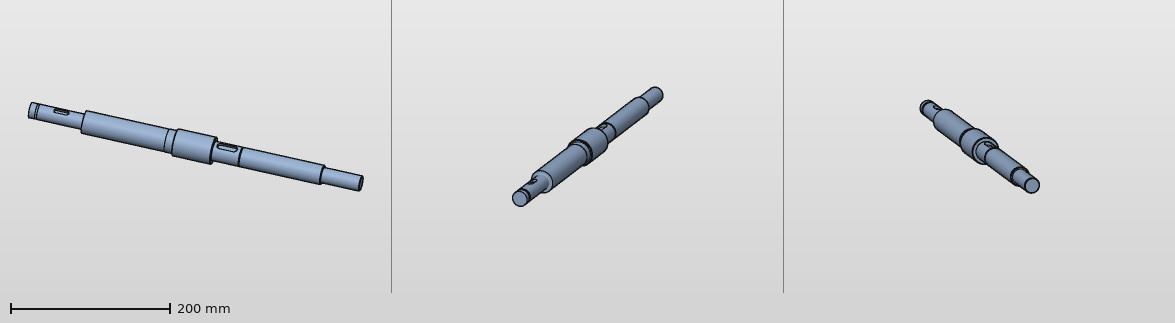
import cadquery as cq

LENGTH = 433.0
GROOVE_START = 8.2
GROOVE_END = 11.0
LEFT_SHOULDER = 70.5
SEAT_START = 179.0
COLLAR_START = 189.5
COLLAR_END = 240.0
HUB_SEAT_END = 275.3
RELIEF_END = 276.5
RIGHT_SHOULDER = 382.5

JOURNAL_DIA = 20.0
GROOVE_DIA = 19.0
LEFT_BODY_DIA = 29.5
SEAT_DIA = 30.0
COLLAR_DIA = 35.0
RIGHT_BODY_DIA = 25.0
RELIEF_DIA = 24.2

EDGE_CHAMFER = 1.0
ROOT_FILLET = 1.5

LEFT_KEYWAY = (30.7, 50.0, 6.0, 3.5)
HUB_KEYWAY = (244.5, 270.5, 8.5, 4.0)


def cylinder(start, end, diameter):
    """Solid cylinder along X between two axial stations."""
    return cq.Workplane("YZ", origin=(start, 0, 0)).circle(diameter / 2).extrude(end - start)


def keyway(start, end, width, depth, shaft_diameter):
    """Round-ended key slot cutter, open at the top of the shaft."""
    floor = shaft_diameter / 2 - depth
    return (
        cq.Workplane("XY", origin=((start + end) / 2, 0, floor))
        .slot2D(end - start, width)
        .extrude(shaft_diameter)
    )


shaft = cylinder(0, GROOVE_START, JOURNAL_DIA)
shaft = shaft.union(cylinder(GROOVE_START, GROOVE_END, GROOVE_DIA))
shaft = shaft.union(cylinder(GROOVE_END, LEFT_SHOULDER, JOURNAL_DIA))

shaft = shaft.union(cylinder(LEFT_SHOULDER, SEAT_START, LEFT_BODY_DIA))
shaft = shaft.union(cylinder(SEAT_START, COLLAR_START, SEAT_DIA))
collar = cylinder(COLLAR_START, COLLAR_END, COLLAR_DIA).faces("<X or >X").chamfer(EDGE_CHAMFER)
shaft = shaft.union(collar)

shaft = shaft.union(cylinder(COLLAR_END, HUB_SEAT_END, RIGHT_BODY_DIA))
shaft = shaft.union(cylinder(HUB_SEAT_END, RELIEF_END, RELIEF_DIA))
right_body = cylinder(RELIEF_END, RIGHT_SHOULDER, RIGHT_BODY_DIA).faces(">X").chamfer(EDGE_CHAMFER)
shaft = shaft.union(right_body)
right_journal = cylinder(RIGHT_SHOULDER, LENGTH, JOURNAL_DIA).faces(">X").chamfer(EDGE_CHAMFER)
shaft = shaft.union(right_journal)

journal_root = cq.selectors.BoxSelector(
    (LEFT_SHOULDER - ROOT_FILLET, -JOURNAL_DIA, -JOURNAL_DIA),
    (LEFT_SHOULDER + ROOT_FILLET, JOURNAL_DIA, JOURNAL_DIA),
)
root_edges = cq.selectors.RadiusNthSelector(0)
shaft = shaft.edges(journal_root).edges(root_edges).fillet(ROOT_FILLET)

shaft = shaft.cut(keyway(*LEFT_KEYWAY, JOURNAL_DIA))
shaft = shaft.cut(keyway(*HUB_KEYWAY, RIGHT_BODY_DIA))

result = shaft